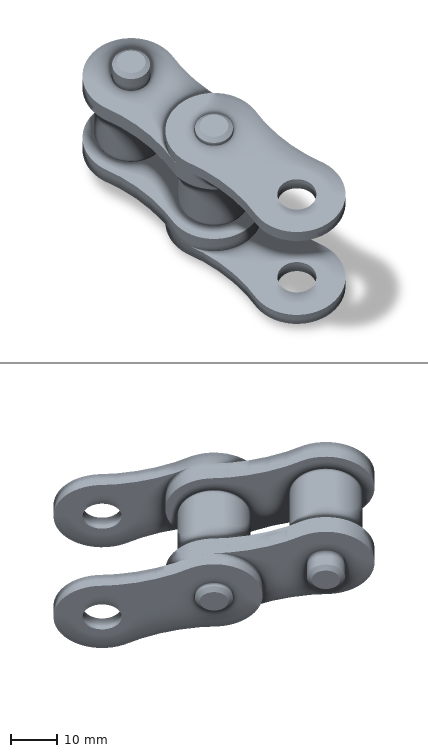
import cadquery as cq

total_length = 71.8
plate_width = 21.1
end_radius = plate_width / 2
pitch = (total_length - plate_width) / 2
pin_length = 34.9

waist_half_width = 8.9
waist_start = 1.9
inner_plate_thickness = 4.2
outer_plate_thickness = 3.1
inner_plate_gap = 17.0
outer_plate_gap = inner_plate_gap + 2 * inner_plate_thickness

pin_diameter = 8.25
pin_chamfer_height = 0.85
pin_chamfer_width = 1.0

bore_diameter = 8.5

roller_diameter = 15.9
roller_length = 16.2
roller_fillet = 1.5

first_axis = 0.0
second_axis = first_axis + pitch
pin_axes = (first_axis, second_axis)


def make_plate(first_hole_x, bottom_z, thickness):
    """Waisted link plate with one pin hole in each rounded end."""
    waist_start_y = (end_radius**2 - waist_start**2) ** 0.5
    left_x = waist_start
    right_x = pitch - waist_start
    return (
        cq.Workplane("XY")
        .moveTo(left_x, waist_start_y)
        .threePointArc((pitch / 2, waist_half_width), (right_x, waist_start_y))
        .threePointArc((pitch + end_radius, 0), (right_x, -waist_start_y))
        .threePointArc((pitch / 2, -waist_half_width), (left_x, -waist_start_y))
        .threePointArc((-end_radius, 0), (left_x, waist_start_y))
        .close()
        .extrude(thickness)
        .faces(">Z")
        .workplane(origin=(0, 0))
        .pushPoints([(0, 0), (pitch, 0)])
        .hole(bore_diameter)
        .translate((first_hole_x, 0, bottom_z))
    )


def make_plate_pair(first_hole_x, gap, thickness):
    """Two equal plates, one below and one above the XY plane."""
    bottom_levels = (-gap / 2 - thickness, gap / 2)
    return [make_plate(first_hole_x, level, thickness).val() for level in bottom_levels]


def make_pin(axis_x):
    """Round pin with a chamfer at both ends."""
    return (
        cq.Workplane("XY", origin=(0, 0, -pin_length / 2))
        .circle(pin_diameter / 2)
        .extrude(pin_length)
        .faces(">Z")
        .chamfer(pin_chamfer_height, pin_chamfer_width)
        .faces("<Z")
        .chamfer(pin_chamfer_height, pin_chamfer_width)
        .translate((axis_x, 0, 0))
    )


def make_roller(axis_x):
    """Hollow roller with rounded outer rims, running on a pin."""
    return (
        cq.Workplane("XY", origin=(0, 0, -roller_length / 2))
        .circle(roller_diameter / 2)
        .extrude(roller_length)
        .edges("%CIRCLE")
        .fillet(roller_fillet)
        .faces(">Z")
        .workplane()
        .hole(bore_diameter)
        .translate((axis_x, 0, 0))
    )


inner_plates = make_plate_pair(first_axis, inner_plate_gap, inner_plate_thickness)
outer_plates = make_plate_pair(second_axis, outer_plate_gap, outer_plate_thickness)
pins = [make_pin(axis_x).val() for axis_x in pin_axes]
rollers = [make_roller(axis_x).val() for axis_x in pin_axes]

result = cq.Compound.makeCompound([*inner_plates, *outer_plates, *pins, *rollers])